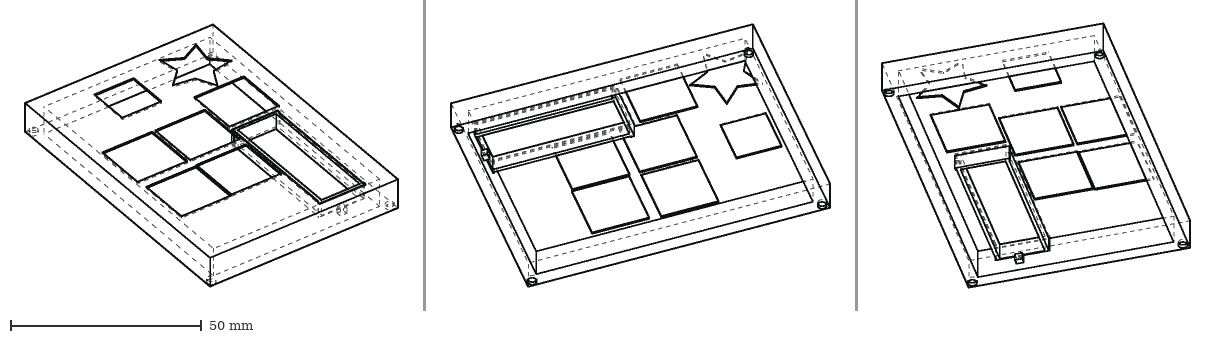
import cadquery as cq
import math

LENGTH = 84.1
WIDTH = 60.4
CASE_HEIGHT = 9.3
WALL = 3.5
PLATE = 0.5

LARGE_OPENING = 16.0
LARGE_CENTERS = [(31.45, 45.75), (37.6, 28.85), (37.6, 11.95), (56.35, 28.85), (56.7, 12.5)]
SMALL_OPENING = 12.6
SMALL_CENTER = (13.7, 23.4)

STAR_CENTER = (12.8, 45.75)
STAR_TIPS = 5
STAR_OUTER_RADIUS = 10.0
STAR_INNER_RADIUS = 5.05

FRAME_CENTER = (61.2, 44.65)
FRAME_LENGTH = 40.0
FRAME_WIDTH = 14.3
FRAME_WALL = 1.0
FRAME_TOP = 9.6
FRAME_BOTTOM = 4.6
END_OVERHANG = 0.25

LUG_SIZE = 2.0
LUG_LENGTH = 1.6
LUG_Y = 45.3
LUG_TOP = 4.2

CORNER_HOLE_DIAMETER = 2.4
CORNER_HOLE_DEPTH = 1.0
CORNER_HOLE_INSET_X = 1.7
CORNER_HOLE_INSET_Y = 1.5


def block(center, size_x, size_y, bottom, top):
    """Box centred on a plan position, between two heights."""
    return (
        cq.Workplane("XY", origin=(center[0], center[1], bottom))
        .rect(size_x, size_y)
        .extrude(top - bottom)
    )


def make_case():
    middle = (LENGTH / 2, WIDTH / 2)
    outside = block(middle, LENGTH, WIDTH, 0, CASE_HEIGHT)
    cavity = block(middle, LENGTH - 2 * WALL, WIDTH - 2 * WALL, 0, CASE_HEIGHT - PLATE)
    return outside.cut(cavity)


def make_star():
    points = []
    for i in range(2 * STAR_TIPS):
        radius = STAR_OUTER_RADIUS if i % 2 == 0 else STAR_INNER_RADIUS
        angle = i * math.pi / STAR_TIPS
        points.append((
            STAR_CENTER[0] + radius * math.cos(angle),
            STAR_CENTER[1] + radius * math.sin(angle),
        ))
    return cq.Workplane("XY").polyline(points).close().extrude(CASE_HEIGHT)


def make_frame():
    frame = block(FRAME_CENTER, FRAME_LENGTH, FRAME_WIDTH, FRAME_BOTTOM, FRAME_TOP)
    for side in (-1, 1):
        end_x = FRAME_CENTER[0] + side * (FRAME_LENGTH - FRAME_WALL) / 2
        end_width = FRAME_WIDTH + 2 * END_OVERHANG
        end_board = block((end_x, FRAME_CENTER[1]), FRAME_WALL, end_width, FRAME_BOTTOM, FRAME_TOP)
        frame = frame.union(end_board)
    return frame


def make_frame_opening():
    inner_length = FRAME_LENGTH - 2 * FRAME_WALL
    inner_width = FRAME_WIDTH - 2 * FRAME_WALL
    return block(FRAME_CENTER, inner_length, inner_width, FRAME_BOTTOM, FRAME_TOP)


def make_lug():
    wall_face = LENGTH - WALL
    center = (wall_face - LUG_LENGTH / 2, LUG_Y)
    return block(center, LUG_LENGTH, LUG_SIZE, LUG_TOP - LUG_SIZE, LUG_TOP)


def make_corner_holes():
    corners = [
        (x, y)
        for x in (CORNER_HOLE_INSET_X, LENGTH - CORNER_HOLE_INSET_X)
        for y in (CORNER_HOLE_INSET_Y, WIDTH - CORNER_HOLE_INSET_Y)
    ]
    return (
        cq.Workplane("XY")
        .pushPoints(corners)
        .circle(CORNER_HOLE_DIAMETER / 2)
        .extrude(CORNER_HOLE_DEPTH)
    )


result = make_case().cut(make_star())
result = result.cut(block(SMALL_CENTER, SMALL_OPENING, SMALL_OPENING, 0, CASE_HEIGHT))
for center in LARGE_CENTERS:
    result = result.cut(block(center, LARGE_OPENING, LARGE_OPENING, 0, CASE_HEIGHT))
result = result.union(make_frame()).cut(make_frame_opening()).union(make_lug())
result = result.cut(make_corner_holes())